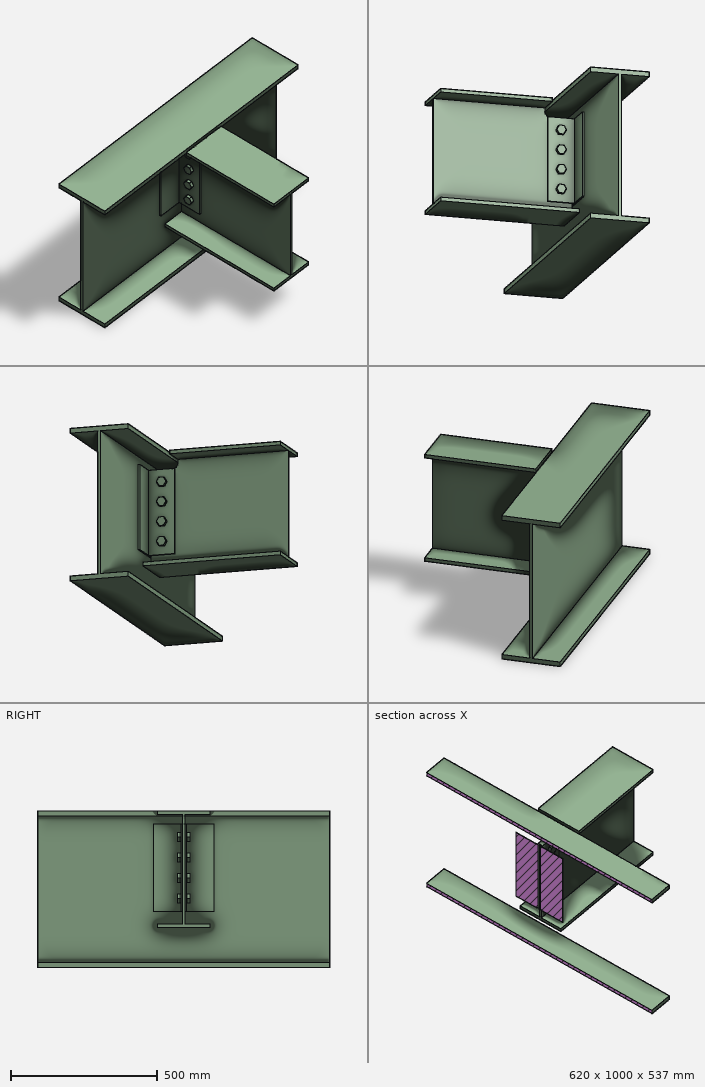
import cadquery as cq

GIRDER_LENGTH = 1000.0
GIRDER_DEPTH = 537.0
GIRDER_WIDTH = 210.0
GIRDER_FLANGE = 17.0
GIRDER_WEB = 11.0

BEAM_DEPTH = 400.0
BEAM_WIDTH = 180.0
BEAM_FLANGE = 13.0
BEAM_WEB = 8.0
END_GAP = 12.0
OVERALL_X = 620.0

COPE_CLEARANCE = 10.0
COPE_DEPTH = 45.0
COPE_RADIUS = 21.0

ANGLE_LEG = 100.0
ANGLE_THICKNESS = 6.0
ANGLE_HEIGHT = 300.0

BOLT_COUNT = 4
BOLT_PITCH = 70.0
HEAD_SIDES = 6
HEAD_ACROSS_CORNERS = 35.0
HEAD_THICKNESS = 12.0
BOLT_FROM_ANGLE_TIP = 45.0

top_z = GIRDER_DEPTH / 2
girder_face_x = GIRDER_WEB / 2
beam_start_x = girder_face_x + END_GAP
beam_end_x = OVERALL_X - GIRDER_WIDTH / 2
beam_length = beam_end_x - beam_start_x
cope_end_x = GIRDER_WIDTH / 2 + COPE_CLEARANCE
cope_z = top_z - COPE_DEPTH
angle_mid_z = cope_z - ANGLE_HEIGHT / 2
angle_outer_y = BEAM_WEB / 2 + ANGLE_THICKNESS
bolt_x = girder_face_x + ANGLE_LEG - BOLT_FROM_ANGLE_TIP


def i_section(plane, depth, width, flange, web, length):
    """I-section centred on the plane origin and extruded along the plane normal."""
    flange_offset = (depth - flange) / 2
    body = cq.Workplane(plane).rect(web, depth).extrude(length)
    for side in (-1, 1):
        plate = cq.Workplane(plane).center(0, side * flange_offset).rect(width, flange).extrude(length)
        body = body.union(plate)
    return body


def make_girder():
    plane = cq.Plane(origin=(0, GIRDER_LENGTH / 2, 0), xDir=(1, 0, 0), normal=(0, -1, 0))
    return i_section(plane, GIRDER_DEPTH, GIRDER_WIDTH, GIRDER_FLANGE, GIRDER_WEB, GIRDER_LENGTH)


def make_beam():
    centre_z = top_z - BEAM_DEPTH / 2
    plane = cq.Plane(origin=(beam_start_x, 0, centre_z), xDir=(0, 1, 0), normal=(1, 0, 0))
    beam = i_section(plane, BEAM_DEPTH, BEAM_WIDTH, BEAM_FLANGE, BEAM_WEB, beam_length)
    cope = (
        cq.Workplane("XY")
        .box(cope_end_x - beam_start_x, BEAM_WIDTH, COPE_DEPTH, centered=(False, True, False))
        .translate((beam_start_x, 0, cope_z))
        .edges("|Y and >X and <Z")
        .fillet(COPE_RADIUS)
    )
    return beam.cut(cope)


def make_angle():
    """Angle on the +Y side: one leg on the girder web, one on the beam web."""
    inner_y = BEAM_WEB / 2
    return (
        cq.Workplane("XY", origin=(girder_face_x, inner_y, angle_mid_z))
        .polyline(
            [
                (0, 0),
                (ANGLE_LEG, 0),
                (ANGLE_LEG, ANGLE_THICKNESS),
                (ANGLE_THICKNESS, ANGLE_THICKNESS),
                (ANGLE_THICKNESS, ANGLE_LEG),
                (0, ANGLE_LEG),
            ]
        )
        .close()
        .extrude(ANGLE_HEIGHT / 2, both=True)
    )


def make_bolt_heads():
    """Row of heads on the +Y angle, with corners pointing along X."""
    plane = cq.Plane(origin=(bolt_x, angle_outer_y, angle_mid_z), xDir=(1, 0, 0), normal=(0, 1, 0))
    return (
        cq.Workplane(plane)
        .rarray(10, BOLT_PITCH, 1, BOLT_COUNT)
        .polygon(HEAD_SIDES, HEAD_ACROSS_CORNERS)
        .extrude(HEAD_THICKNESS)
    )


connection = make_angle().union(make_bolt_heads())
result = make_girder().union(make_beam()).union(connection).union(connection.mirror("XZ"))